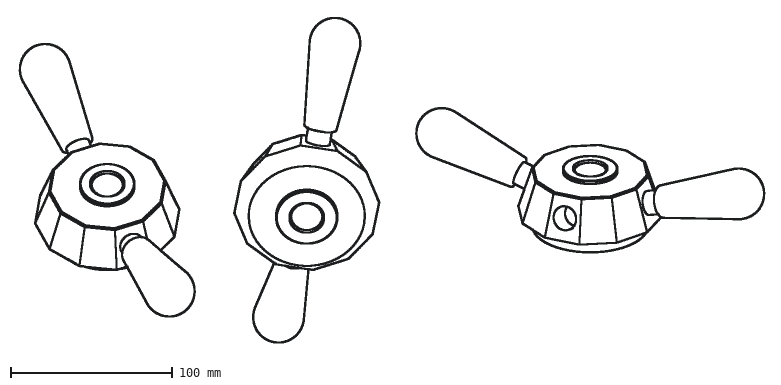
import cadquery as cq
import math

boss_height = 2.0
hub_bottom = 12.0
hub_top = 40.0
total_hub_height = hub_top + boss_height

side_count = 12
across_flats = 87.0
hub_taper = 17.0
hub_chamfer = 0.7

foot_diameter = 72.0
foot_flare = 5.5
lower_boss_diameter = 38.0
upper_boss_diameter = 34.0
boss_chamfer = 0.5
bore_diameter = 19.3
bore_chamfer = 1.2

overall_length = 232.3
overall_height = 61.0
handle_tilt = 17.5
ball_radius = 15.8
ball_reach = overall_length / 2 - ball_radius
ball_height = overall_height - ball_radius
grip_length = 54.8
ball_collar = 1.0
grip_end_radius = 10.2
grip_end_fillet = 1.0
neck_diameter = 15.0
neck_length = 23.2

socket_floor_reach = 21.5


def make_hub():
    """Tapered prism with flats facing X and Y and a chamfered top rim."""
    across_corners = across_flats / math.cos(math.pi / side_count)
    height = hub_top - hub_bottom
    hub = (
        cq.Workplane("XY", origin=(0, 0, hub_bottom))
        .transformed(rotate=(0, 0, 180 / side_count))
        .polygon(side_count, across_corners)
        .extrude(height, taper=hub_taper)
    )
    return hub.faces(">Z").chamfer(hub_chamfer)


def make_foot():
    """Round foot that flares out in a concave arc to the underside of the hub."""
    radius = foot_diameter / 2
    flare_start = hub_bottom - foot_flare
    arc_offset = foot_flare * (1 - math.sqrt(0.5))
    return (
        cq.Workplane("XZ")
        .moveTo(0, boss_height)
        .lineTo(radius, boss_height)
        .lineTo(radius, flare_start)
        .threePointArc(
            (radius + arc_offset, hub_bottom - arc_offset),
            (radius + foot_flare, hub_bottom),
        )
        .lineTo(0, hub_bottom)
        .close()
        .revolve(360, (0, 0), (0, 1))
    )


def make_bosses():
    """Chamfered bosses on the underside and on the top."""
    lower = (
        cq.Workplane("XY")
        .circle(lower_boss_diameter / 2)
        .extrude(hub_bottom)
        .faces("<Z")
        .chamfer(boss_chamfer)
    )
    upper = (
        cq.Workplane("XY", origin=(0, 0, hub_bottom))
        .circle(upper_boss_diameter / 2)
        .extrude(total_hub_height - hub_bottom)
        .faces(">Z")
        .chamfer(boss_chamfer)
    )
    return lower.union(upper)


def make_bore():
    """Through bore with a countersunk edge at both ends."""
    bore = cq.Workplane("XY").circle(bore_diameter / 2).extrude(total_hub_height)
    rim_radius = bore_diameter / 2 + bore_chamfer
    for end, direction in ((0, 1), (total_hub_height, -1)):
        countersink = cq.Solid.makeCone(
            rim_radius, 0, rim_radius, cq.Vector(0, 0, end), cq.Vector(0, 0, direction)
        )
        bore = bore.union(cq.Workplane(countersink))
    return bore


def make_handle():
    """Neck, tapered grip and ball end on the +X side, tilted upward."""
    neck_radius = neck_diameter / 2
    ball_diagonal = ball_radius * math.sqrt(0.5)
    handle = (
        cq.Workplane("XY")
        .moveTo(-grip_length - neck_length, 0)
        .lineTo(-grip_length - neck_length, neck_radius)
        .lineTo(-grip_length, neck_radius)
        .lineTo(-grip_length, grip_end_radius - grip_end_fillet)
        .radiusArc((-grip_length + grip_end_fillet, grip_end_radius), grip_end_fillet)
        .lineTo(-ball_collar, ball_radius)
        .lineTo(0, ball_radius)
        .threePointArc((ball_diagonal, ball_diagonal), (ball_radius, 0))
        .close()
        .revolve(360, (0, 0), (1, 0))
    )
    return handle.rotate((0, 0, 0), (0, 1, 0), -handle_tilt).translate((ball_reach, 0, ball_height))


def make_socket():
    """Cutter for a blind hole in the rear (+Y) face, tilted like the handles."""
    rise = math.tan(math.radians(handle_tilt))
    floor_height = ball_height - (ball_reach - socket_floor_reach) * rise
    return (
        cq.Workplane("XZ")
        .circle(neck_diameter / 2)
        .extrude(-across_flats / 2)
        .rotate((0, 0, 0), (1, 0, 0), handle_tilt)
        .translate((0, socket_floor_reach, floor_height))
    )


body = make_hub().union(make_foot()).union(make_bosses())
right_handle = make_handle()
left_handle = right_handle.mirror("YZ")
result = body.union(right_handle).union(left_handle).cut(make_socket()).cut(make_bore())